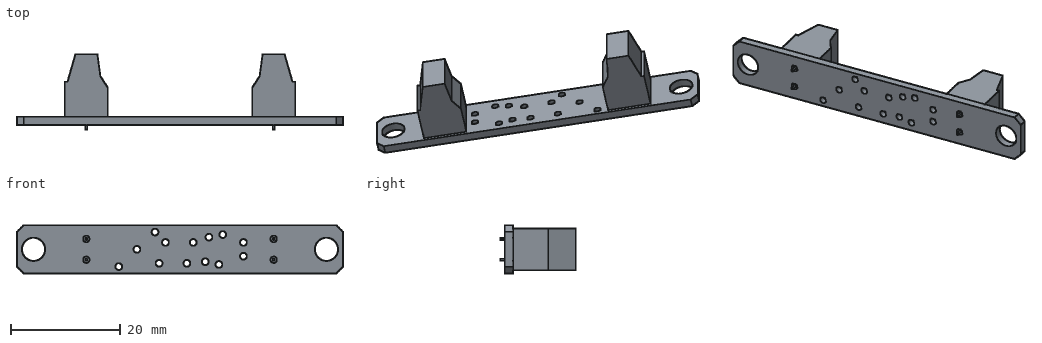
import cadquery as cq

board_length = 59.69
board_height = 8.89
board_thickness = 1.55
corner_chamfer = 1.27
mounting_hole_diameter = 4.2
mounting_hole_edge_distance = 3.05
mounting_hole_x = board_length / 2 - mounting_hole_edge_distance

small_hole_diameter = 1.2
small_hole_positions = [
    (-11.2, -3.16),
    (-7.88, 0),
    (-4.57, 3.16),
    (-3.82, -2.55),
    (-2.66, 1.26),
    (1.26, -2.55),
    (2.43, 1.26),
    (4.62, -2.26),
    (5.3, 2.22),
    (7.12, -2.77),
    (7.82, 2.7),
    (11.61, 1.26),
    (11.61, -1.26),
]

connector_x = 17.145
pin_spacing = 3.81
pin_diameter = 0.4
pin_protrusion = 0.82
overall_depth = 13.82

housing_width = 7.9
housing_height = 7.7
housing_depth = overall_depth - board_thickness - pin_protrusion
housing_back_y = board_thickness + housing_depth
outer_ledge_width = 0.5
outer_ledge_height = 6.4
outer_ledge_y = board_thickness + outer_ledge_height
outer_nose_offset = 2.0
inner_nose_offset = 2.05
inner_knee_offset = 2.6
inner_knee_height = 7.4
inner_knee_y = board_thickness + inner_knee_height
inner_shoulder_height = 5.3
inner_shoulder_y = board_thickness + inner_shoulder_height

connector_sides = (-1, 1)
pin_heights = (-pin_spacing / 2, pin_spacing / 2)
pin_positions = [(side * connector_x, z) for side in connector_sides for z in pin_heights]


def rods(positions, diameter, start_y, end_y):
    """Cylinders along Y, centred on (x, z) positions."""
    return (
        cq.Workplane("XZ", origin=(0, start_y, 0))
        .pushPoints(positions)
        .circle(diameter / 2)
        .extrude(start_y - end_y)
    )


def make_board():
    """Chamfered plate with mounting holes, small holes and clearance holes for the pins."""
    plate = (
        cq.Workplane("XZ")
        .rect(board_length, board_height)
        .extrude(-board_thickness)
        .edges("|Y")
        .chamfer(corner_chamfer)
    )
    mounting_positions = [(side * mounting_hole_x, 0) for side in connector_sides]
    mounting_holes = rods(mounting_positions, mounting_hole_diameter, 0, board_thickness)
    small_holes = rods(small_hole_positions + pin_positions, small_hole_diameter, 0, board_thickness)
    return plate.cut(mounting_holes).cut(small_holes)


def make_connector(side):
    """Housing and its two pins; side is -1 or 1, the end of the board it sits at."""
    half_width = housing_width / 2
    outline = [
        (-half_width, board_thickness),
        (half_width, board_thickness),
        (half_width, outer_ledge_y),
        (half_width - outer_ledge_width, outer_ledge_y),
        (outer_nose_offset, housing_back_y),
        (-inner_nose_offset, housing_back_y),
        (-inner_knee_offset, inner_knee_y),
        (-half_width, inner_shoulder_y),
    ]
    housing = (
        cq.Workplane("XY", origin=(0, 0, -housing_height / 2))
        .polyline([(side * (connector_x + offset), y) for offset, y in outline])
        .close()
        .extrude(housing_height)
    )
    own_pins = [(side * connector_x, z) for z in pin_heights]
    return housing.union(rods(own_pins, pin_diameter, -pin_protrusion, board_thickness))


board = make_board()
connectors = [make_connector(side) for side in connector_sides]

result = cq.Compound.makeCompound([board.val(), *[connector.val() for connector in connectors]])